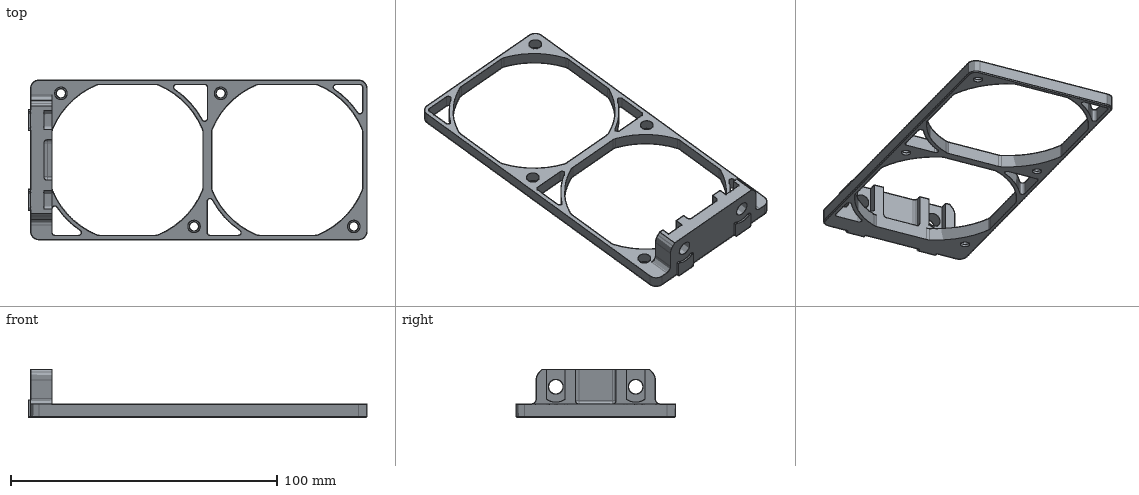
import cadquery as cq
import math


fan_size = 60.0
fan_count = 2
end_margin = 6.4
plate_length = end_margin + fan_count * fan_size
plate_width = fan_size
plate_height = 5.0
plate_corner_radius = 3.2
bottom_chamfer = 0.4
fan_centers_x = [end_margin + (i + 0.5) * fan_size for i in range(fan_count)]

opening_side = 56.6
opening_radius = 30.4
opening_blend = 3.0

web_thickness = 1.5
window_arc_radius = opening_radius + web_thickness
window_corner_radius = 1.0

fan_hole_offset = 25.0
fan_hole_diameter = 3.4
insert_diameter = 4.7
insert_depth = 4.0

flange_thickness = fan_centers_x[0] - opening_side / 2
flange_width = 44.8
flange_height = 18.0
flange_foot_radius = 2.0
flange_shoulder_radius = 4.3
shoulder_start_height = 14.0

flange_hole_spacing = 30.0
flange_hole_height = 11.5
flange_hole_diameter = 5.4
flange_hole_y = [-flange_hole_spacing / 2, flange_hole_spacing / 2]
screw_wall = 5.0
pocket_depth = flange_thickness - screw_wall
screw_pocket_width = 7.0
screw_head_radius = 5.8

relief_width = 15.2
relief_fillet = 1.3

tab_width = 8.0
tab_depth = 0.8
tab_height = 6.6


def make_base():
    """Plate with locating tabs; the lower edge is chamfered except on the tab faces."""
    plate = (
        cq.Workplane("XY")
        .box(plate_length, plate_width, plate_height, centered=(False, True, False))
        .edges("|Z")
        .fillet(plate_corner_radius)
    )
    for y in flange_hole_y:
        plate = plate.union(make_long_tab(y))
    chamfered = plate.faces("<Z").chamfer(bottom_chamfer)
    envelope = (
        cq.Workplane("XY", origin=(-tab_depth, 0, 0))
        .box(plate_length + tab_depth, plate_width, flange_height, centered=(False, True, False))
    )
    return chamfered.intersect(envelope)


def make_long_tab(y):
    """Tab twice its final depth, hollowed on top concentrically with the flange hole."""
    long_depth = 2 * tab_depth
    block = (
        cq.Workplane("XY", origin=(-long_depth, y, 0))
        .box(long_depth + screw_wall, tab_width, tab_height, centered=(False, True, False))
    )
    notch = (
        cq.Workplane("YZ", origin=(-long_depth, y, flange_hole_height))
        .circle(screw_head_radius)
        .extrude(long_depth)
    )
    return block.cut(notch)


def make_flange():
    """Upright wall with filleted feet and rounded shoulders that end in 45 degree slopes."""
    half = flange_width / 2
    foot = half + flange_foot_radius
    foot_top = plate_height + flange_foot_radius
    sin45 = math.sin(math.pi / 4)
    sin22 = math.sin(math.pi / 8)
    cos22 = math.cos(math.pi / 8)
    arc_center_y = half - flange_shoulder_radius
    arc_end_y = arc_center_y + flange_shoulder_radius * sin45
    arc_end_z = shoulder_start_height + flange_shoulder_radius * sin45
    arc_mid_y = arc_center_y + flange_shoulder_radius * cos22
    arc_mid_z = shoulder_start_height + flange_shoulder_radius * sin22
    top_y = arc_end_y - (flange_height - arc_end_z)
    foot_mid_y = foot - flange_foot_radius * sin45
    foot_mid_z = foot_top - flange_foot_radius * sin45
    half_profile = (
        cq.Workplane("YZ")
        .moveTo(0, 0)
        .lineTo(foot, 0)
        .lineTo(foot, plate_height)
        .threePointArc((foot_mid_y, foot_mid_z), (half, foot_top))
        .lineTo(half, shoulder_start_height)
        .threePointArc((arc_mid_y, arc_mid_z), (arc_end_y, arc_end_z))
        .lineTo(top_y, flange_height)
        .lineTo(0, flange_height)
        .close()
        .extrude(flange_thickness)
    )
    upright = half_profile.union(half_profile.mirror("XZ"))
    above_chamfer = (
        cq.Workplane("XY", origin=(0, 0, plate_height / 2))
        .box(flange_thickness, plate_width, flange_height, centered=(False, True, False))
    )
    return upright.intersect(above_chamfer)


def make_opening(center_x):
    """Clipped circle with softened transitions between its arcs and flats."""
    square = cq.Workplane("XY").box(opening_side, opening_side, plate_height, centered=(True, True, False))
    cylinder = cq.Workplane("XY").circle(opening_radius).extrude(plate_height)
    opening = square.intersect(cylinder).edges("|Z").fillet(opening_blend)
    return opening.translate((center_x, 0, 0))


def make_window(center_x, side, outer_reach):
    """Three-sided window in the corner (side, side) of a fan, reaching outer_reach along X."""
    edge_y = opening_side / 2
    corner = (
        cq.Workplane("XY")
        .box(outer_reach, edge_y, plate_height, centered=False)
        .cut(cq.Workplane("XY").circle(window_arc_radius).extrude(plate_height))
        .edges("|Z")
        .fillet(window_corner_radius)
    )
    if side < 0:
        corner = corner.rotate((0, 0, 0), (0, 0, 1), 180)
    return corner.translate((center_x, 0, 0))


def make_fan_hole(x, y):
    """Clearance hole with a wider insert bore from the top."""
    through = cq.Workplane("XY").circle(fan_hole_diameter / 2).extrude(plate_height)
    bore = (
        cq.Workplane("XY", origin=(0, 0, plate_height - insert_depth))
        .circle(insert_diameter / 2)
        .extrude(insert_depth)
    )
    return through.union(bore).translate((x, y, 0))


def make_flange_hole(y):
    """Through hole and its round-floored pocket in the inner side of the flange."""
    through = (
        cq.Workplane("YZ", origin=(0, y, flange_hole_height))
        .circle(flange_hole_diameter / 2)
        .extrude(flange_thickness)
    )
    head_space = (
        cq.Workplane("YZ", origin=(screw_wall, y, flange_hole_height))
        .circle(screw_head_radius)
        .extrude(pocket_depth)
    )
    above_hole = (
        cq.Workplane("XY", origin=(screw_wall, y, flange_hole_height))
        .box(pocket_depth, 2 * screw_head_radius, flange_height, centered=(False, True, False))
    )
    slot = (
        cq.Workplane("XY", origin=(screw_wall, y, 0))
        .box(pocket_depth, screw_pocket_width, 2 * flange_height, centered=(False, True, False))
    )
    return through.union(head_space.union(above_hole).intersect(slot))


def make_relief():
    """Middle pocket, open to the top and inside, with rounded inner edges."""
    return (
        cq.Workplane("XY", origin=(screw_wall, 0, plate_height))
        .box(2 * pocket_depth, relief_width, flange_height, centered=(False, True, False))
        .edges("<X or <Z")
        .edges("not >X")
        .edges("not >Z")
        .fillet(relief_fillet)
    )


result = make_base().union(make_flange())

for i, center_x in enumerate(fan_centers_x):
    first = i == 0
    last = i == fan_count - 1
    left_reach = opening_side / 2 if first else fan_size / 2
    right_reach = opening_side / 2 if last else fan_size / 2
    result = result.cut(make_opening(center_x))
    result = result.cut(make_window(center_x, -1, left_reach))
    result = result.cut(make_window(center_x, 1, right_reach))
    for side in (-1, 1):
        result = result.cut(make_fan_hole(center_x + side * fan_hole_offset, -side * fan_hole_offset))

for y in flange_hole_y:
    result = result.cut(make_flange_hole(y))

result = result.cut(make_relief())